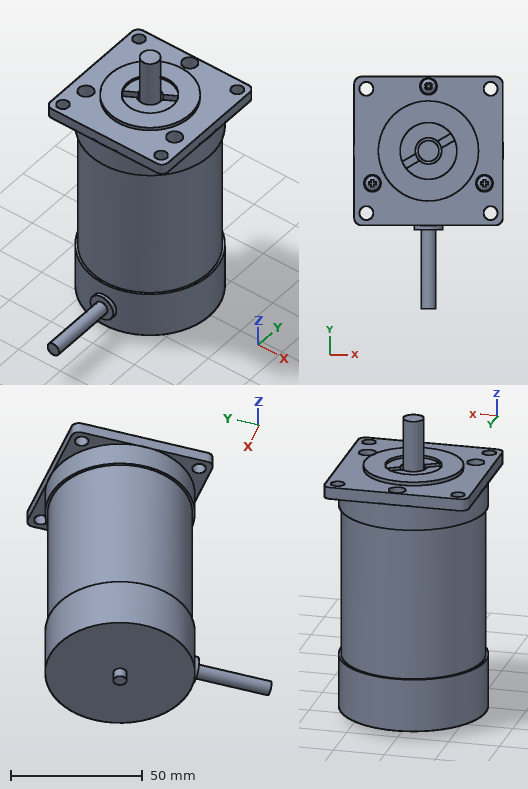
import cadquery as cq
import math

rear_cap_bottom = 4.0
rear_cap_top = 24.9
collar_bottom = 85.5
plate_bottom = 95.4
plate_top = 100.0
pilot_top = 101.5
shaft_top = 120.4

stator_diameter = 55.0
cap_diameter = 57.0

collar_diameter = 57.0
plate_width = 56.6
plate_corner_radius = 3.0
pilot_diameter = 38.0
recess_diameter = 21.5
recess_depth = 1.0
slot_width = 3.0
slot_depth = 2.6
slot_angle = 30
bore_diameter = 10.0
mounting_hole_diameter = 5.2
mounting_hole_spacing = 47.2

shaft_diameter = 8.0
rear_shaft_diameter = 5.0

screw_circle_radius = 24.6
first_screw_angle = 90
counterbore_diameter = 6.5
counterbore_depth = 7.8
head_diameter = 5.8
head_rim_height = 1.0
head_dome_height = 1.1
shank_diameter = 3.0
shank_overlap = 4.8
cross_length = 2.9
cross_width = 1.2
cross_depth = 1.1
cross_taper = 10
cross_angles = (45, 0, 0)

cable_height = 13.8
cable_diameter = 5.5
total_depth = 88.5
grommet_diameter = 11.0
grommet_end = 30.0
grommet_inner_end = 24.1

cable_end = total_depth - cap_diameter / 2
head_seat = plate_top - counterbore_depth
screw_tip = collar_bottom - shank_overlap
screw_angles = [first_screw_angle + i * 360 / len(cross_angles) for i in range(len(cross_angles))]
screw_points = [
    (
        screw_circle_radius * math.cos(math.radians(angle)),
        screw_circle_radius * math.sin(math.radians(angle)),
    )
    for angle in screw_angles
]


def cylinder(diameter, bottom, top, x=0, y=0):
    """Upright cylinder between two heights."""
    return cq.Workplane("XY", origin=(x, y, bottom)).circle(diameter / 2).extrude(top - bottom)


def side_cylinder(diameter, inner_end, outer_end):
    """Cylinder along -Y at the cable height, between two distances from the motor axis."""
    plane = cq.Workplane("XZ", origin=(0, -inner_end, cable_height))
    return plane.circle(diameter / 2).extrude(outer_end - inner_end)


def make_shaft():
    front = cylinder(shaft_diameter, rear_cap_top, shaft_top)
    return front.union(cylinder(rear_shaft_diameter, 0, rear_cap_top))


def make_front_flange():
    plate = (
        cq.Workplane("XY", origin=(0, 0, plate_bottom))
        .rect(plate_width, plate_width)
        .extrude(plate_top - plate_bottom)
        .edges("|Z")
        .fillet(plate_corner_radius)
    )
    flange = plate.union(cylinder(collar_diameter, collar_bottom, plate_bottom))
    flange = flange.union(cylinder(pilot_diameter, plate_top, pilot_top))

    recess_floor = pilot_top - recess_depth
    slot_floor = recess_floor - slot_depth
    flange = flange.cut(cylinder(recess_diameter, recess_floor, pilot_top))
    slot = (
        cq.Workplane("XY", origin=(0, 0, slot_floor))
        .rect(recess_diameter, slot_width)
        .extrude(slot_depth)
        .rotate((0, 0, 0), (0, 0, 1), slot_angle)
        .intersect(cylinder(recess_diameter, slot_floor, recess_floor))
    )
    flange = flange.cut(slot)
    flange = flange.cut(cylinder(bore_diameter, collar_bottom, pilot_top))

    mounting_holes = (
        cq.Workplane("XY", origin=(0, 0, plate_bottom))
        .rect(mounting_hole_spacing, mounting_hole_spacing, forConstruction=True)
        .vertices()
        .circle(mounting_hole_diameter / 2)
        .extrude(plate_top - plate_bottom)
    )
    flange = flange.cut(mounting_holes)

    for x, y in screw_points:
        flange = flange.cut(cylinder(counterbore_diameter, head_seat, plate_top, x, y))
        flange = flange.cut(cylinder(shank_diameter, collar_bottom, head_seat, x, y))
    return flange


def make_stator():
    stator = cylinder(stator_diameter, rear_cap_top, collar_bottom)
    stator = stator.cut(cylinder(shaft_diameter, rear_cap_top, collar_bottom))
    for x, y in screw_points:
        stator = stator.cut(cylinder(shank_diameter, screw_tip, collar_bottom, x, y))
    return stator


def make_rear_cap():
    cap = cylinder(cap_diameter, rear_cap_bottom, rear_cap_top)
    cap = cap.cut(cylinder(rear_shaft_diameter, rear_cap_bottom, rear_cap_top))
    return cap.cut(side_cylinder(grommet_diameter, grommet_inner_end, grommet_end))


def make_grommet():
    grommet = side_cylinder(grommet_diameter, grommet_inner_end, grommet_end)
    return grommet.cut(side_cylinder(cable_diameter, grommet_inner_end, grommet_end))


def make_cable():
    return side_cylinder(cable_diameter, grommet_inner_end, cable_end)


def make_screw(x, y, cross_angle):
    """Domed cross-recess screw seated in its counterbore, with its shank reaching into the stator."""
    head_top = head_rim_height + head_dome_height
    dome_radius = ((head_diameter / 2) ** 2 + head_dome_height**2) / (2 * head_dome_height)
    half_angle = math.asin(head_diameter / 2 / dome_radius) / 2
    dome_middle = (
        dome_radius * math.sin(half_angle),
        head_top - dome_radius * (1 - math.cos(half_angle)),
    )
    head = (
        cq.Workplane("XZ")
        .lineTo(head_diameter / 2, 0)
        .lineTo(head_diameter / 2, head_rim_height)
        .threePointArc(dome_middle, (0, head_top))
        .close()
        .revolve(360, (0, 0, 0), (0, 1, 0))
    )
    for length, width in ((cross_length, cross_width), (cross_width, cross_length)):
        arm = cq.Workplane("XY", origin=(0, 0, head_top)).rect(length, width)
        head = head.cut(arm.extrude(-cross_depth, taper=cross_taper))
    screw = head.rotate((0, 0, 0), (0, 0, 1), cross_angle).translate((x, y, head_seat))
    return screw.union(cylinder(shank_diameter, screw_tip, head_seat, x, y))


shaft = make_shaft()
front_flange = make_front_flange()
stator = make_stator()
rear_cap = make_rear_cap()
grommet = make_grommet()
cable = make_cable()
screws = [make_screw(x, y, angle).val() for (x, y), angle in zip(screw_points, cross_angles)]

result = cq.Compound.makeCompound(
    [
        shaft.val(),
        front_flange.val(),
        stator.val(),
        rear_cap.val(),
        grommet.val(),
        cable.val(),
        *screws,
    ]
)